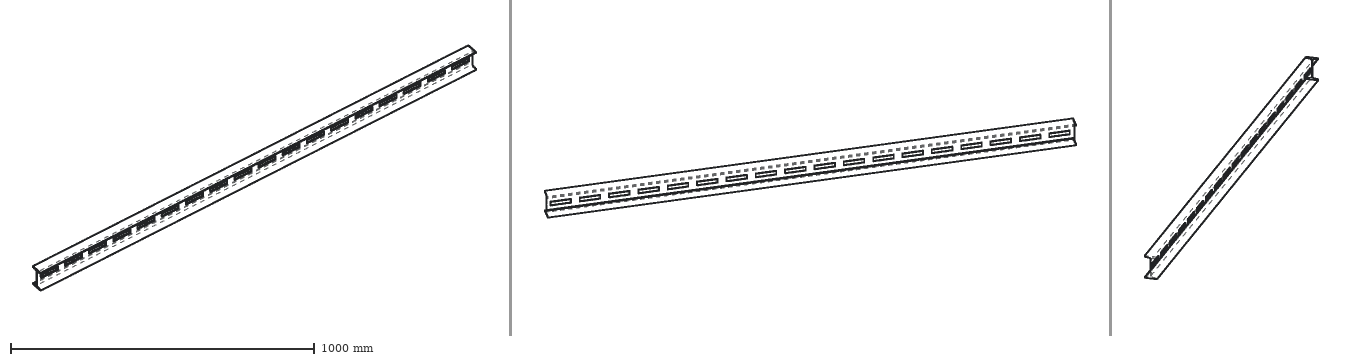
import cadquery as cq

HEIGHT = 80.0
WIDTH = 42.0
LENGTH = 1800.0
WEB = 3.9
FLANGE = 5.9
FLANGE_SLOPE = 0.14
ROOT_RADIUS = WEB
TIP_RADIUS = 2.3

WEB_SIDE = WEB / 2
FLANGE_TIP = WIDTH / 2
FLANGE_TOP = HEIGHT / 2
MID_OVERHANG = (WEB_SIDE + FLANGE_TIP) / 2

SLOT_LENGTH = 70.0
SLOT_HEIGHT = 14.0
SLOT_PITCH = 100.0
SLOT_COUNT = round(LENGTH / SLOT_PITCH)
ROW_SHIFT = 1.5

EDGE_SEARCH = 0.5


def inner_flange_height(x):
    """Height of the sloping inner face of the upper flange at distance x from the web centre."""
    return FLANGE_TOP - FLANGE + FLANGE_SLOPE * (x - MID_OVERHANG)


def sharp_beam():
    """The beam with sharp edges: one quarter of the section, mirrored twice."""
    quarter = (
        cq.Workplane("XZ", origin=(0, LENGTH / 2, 0))
        .moveTo(0, 0)
        .lineTo(WEB_SIDE, 0)
        .lineTo(WEB_SIDE, inner_flange_height(WEB_SIDE))
        .lineTo(FLANGE_TIP, inner_flange_height(FLANGE_TIP))
        .lineTo(FLANGE_TIP, FLANGE_TOP)
        .lineTo(0, FLANGE_TOP)
        .close()
        .extrude(LENGTH)
    )
    half = quarter.union(quarter.mirror("XY"))
    return half.union(half.mirror("YZ")).clean()


def round_inner_edges(beam, x, radius):
    """Round the four lengthwise inner flange edges lying at distance x from the web centre."""
    z = inner_flange_height(x)
    for edge_x in (-x, x):
        for edge_z in (-z, z):
            low = (edge_x - EDGE_SEARCH, -LENGTH, edge_z - EDGE_SEARCH)
            high = (edge_x + EDGE_SEARCH, LENGTH, edge_z + EDGE_SEARCH)
            edge_box = cq.selectors.BoxSelector(low, high)
            beam = beam.edges("|Y").edges(edge_box).fillet(radius)
    return beam


def web_slots():
    """Cutters for the slots, twice as thick as the web."""
    first = ROW_SHIFT - SLOT_PITCH * (SLOT_COUNT - 1) / 2
    centres = [(first + i * SLOT_PITCH, 0) for i in range(SLOT_COUNT)]
    return (
        cq.Workplane("YZ")
        .pushPoints(centres)
        .rect(SLOT_LENGTH, SLOT_HEIGHT)
        .extrude(WEB, both=True)
    )


beam = sharp_beam()
beam = round_inner_edges(beam, WEB_SIDE, ROOT_RADIUS)
beam = round_inner_edges(beam, FLANGE_TIP, TIP_RADIUS)
result = beam.cut(web_slots()).solids()